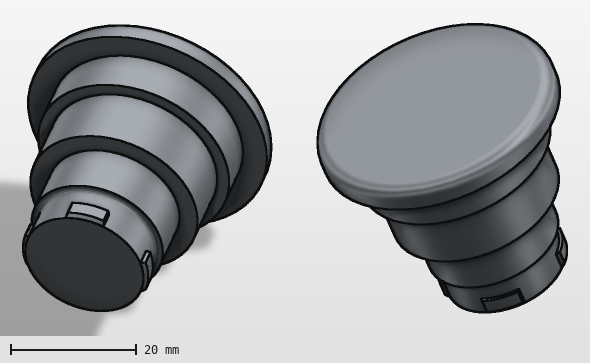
import cadquery as cq
import math


cap_diameter = 40.0
cap_thickness = 4.0
cap_edge_radius = 2.0
hub_diameter = 32.0
hub_length = 7.0

collar_diameter = 28.0
collar_length = 10.0
barrel_diameter = 22.0
barrel_length = 8.5
neck_diameter = 19.8
neck_length = 6.5
neck_root_radius = 0.5

lug_count = 4
lug_circle_diameter = 21.0
lug_length = 3.0
lug_root_width = 6.35
lug_outer_width = 6.0
lug_bevel = 0.65

neck_radius = neck_diameter / 2
lug_circle_radius = lug_circle_diameter / 2
barrel_end = -barrel_length
neck_end = barrel_end - neck_length
hub_end = collar_length + hub_length


def cylinder(diameter, start, length):
    """Cylinder on the Y axis from Y = start towards +Y."""
    return cq.Workplane("XZ", origin=(0, start, 0)).circle(diameter / 2).extrude(-length)


def make_button():
    """Cap with a rounded outer rim, on top of its hub."""
    cap = cylinder(cap_diameter, hub_end, cap_thickness).faces(">Y").edges().fillet(cap_edge_radius)
    return cap.union(cylinder(hub_diameter, collar_length, hub_length))


def make_neck():
    """Neck with a concave fillet where it leaves the barrel."""
    fillet_end = barrel_end - neck_root_radius
    fillet_middle = neck_root_radius * (1 - math.sqrt(0.5))
    profile = (
        cq.Workplane("XY")
        .moveTo(0, neck_end)
        .lineTo(neck_radius, neck_end)
        .lineTo(neck_radius, fillet_end)
        .threePointArc(
            (neck_radius + fillet_middle, barrel_end - fillet_middle),
            (neck_radius + neck_root_radius, barrel_end),
        )
        .lineTo(0, barrel_end)
        .close()
    )
    return profile.revolve(360, (0, 0, 0), (0, 1, 0))


def make_lug():
    """Lug on the +Z side: a wedge-sided block cut from a disc with a 45 degree end bevel."""
    disc = cylinder(lug_circle_diameter, neck_end, lug_length).faces("<Y").chamfer(lug_bevel)
    root_z = math.sqrt(neck_radius**2 - (lug_root_width / 2) ** 2)
    outer_z = math.sqrt(lug_circle_radius**2 - (lug_outer_width / 2) ** 2)
    wedge = (
        cq.Workplane("XZ", origin=(0, neck_end, 0))
        .moveTo(-lug_root_width / 2, 0)
        .lineTo(-lug_root_width / 2, root_z)
        .lineTo(-lug_outer_width / 2, outer_z)
        .lineTo(-lug_outer_width / 2, lug_circle_radius)
        .lineTo(lug_outer_width / 2, lug_circle_radius)
        .lineTo(lug_outer_width / 2, outer_z)
        .lineTo(lug_root_width / 2, root_z)
        .lineTo(lug_root_width / 2, 0)
        .close()
        .extrude(-lug_length)
    )
    return disc.intersect(wedge)


def make_base():
    """Collar, barrel and neck in one piece with the bayonet lugs."""
    body = cylinder(collar_diameter, 0, collar_length)
    body = body.union(cylinder(barrel_diameter, barrel_end, barrel_length))
    body = body.union(make_neck())
    lug = make_lug()
    for index in range(lug_count):
        body = body.union(lug.rotate((0, 0, 0), (0, 1, 0), index * 360 / lug_count))
    return body


button = make_button()
base = make_base()

result = cq.Compound.makeCompound([button.solids().val(), base.solids().val()])